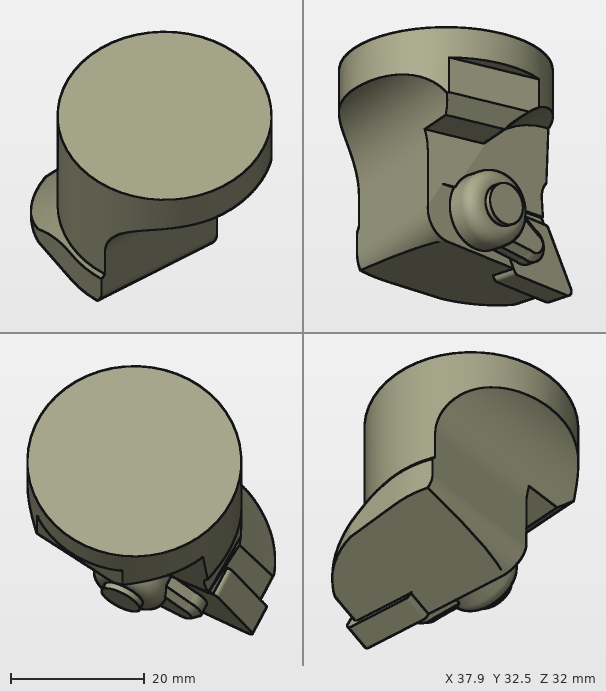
import cadquery as cq
import math


shank_diameter = 32.0
shank_radius = shank_diameter / 2
shank_length = 21.4
far = 45.45

relief_radius = 9.65
relief_top = -6.7
relief_x = shank_radius - relief_radius
corner_radius = 4.55
corner_z = -25.55

flare_slope = 0.65
head_depth = 12.1
skirt_radius = 16.5
skirt_arc_start = (-19.4, -8.55)
skirt_arc_middle = (-15.53, -13.67)
skirt_arc_end = (-9.25, -skirt_radius)

step_z = -4.95
step_y = 13.95
ledge_z = -13.18
ledge_chamfer = 2.55
wall_y = 5.25
rake_wall_rise = 0.38
ceiling_start = (-17.05, -7.45)
ceiling_middle = (-9.85, -8.55)
ceiling_end = (-3.4, ledge_z)

insert_side = 11.63
insert_angle = math.radians(55)
insert_thickness = 4.77
nose_radius = 0.8
side_inset = 0.55
lower_inset = 0.75
insert_tip = cq.Vector(-22.55, -0.1, -32.08)
insert_normal = cq.Vector(0.16, -0.98, 0.1)
lower_edge_direction = cq.Vector(0.984, 0.166, 0.05)
insert_plane = cq.Plane(insert_tip, lower_edge_direction, insert_normal)

scoop_diameter = 6.4
scoop_length = 11.35
scoop_run_angle = math.radians(78)
scoop_center = cq.Vector(-17.72, 0, -17.72)

clamp_center = (19.7, 7.27)
clamp_radius = 5.87
clamp_height = 5.1
clamp_fillet = 2.27
clamp_nose_center = (11.0, 4.55)
clamp_nose_radius = 2.65
clamp_nose_height = 3.03
clamp_nose_chamfer = 1.15
screw_diameter = 6.4
screw_height = 6.17


def point_on_edge(distance):
    """Local point on the insert's steep edge, measured from the tip."""
    return (distance * math.cos(insert_angle), distance * math.sin(insert_angle))


def make_insert():
    top_x, top_y = point_on_edge(insert_side)
    outline = [(0, 0), (insert_side, 0), (insert_side + top_x, top_y), (top_x, top_y)]
    blank = cq.Workplane(insert_plane).polyline(outline).close().extrude(insert_thickness)
    return blank.edges(cq.selectors.ParallelDirSelector(insert_plane.zDir)).fillet(nose_radius)


def make_front_profile():
    """Side limits of the head in XZ: shank left side, relief arc and rounded lower corner."""
    corner_center_x = relief_x - corner_radius
    return (
        cq.Workplane("XZ")
        .moveTo(-far, 0)
        .lineTo(shank_radius, 0)
        .lineTo(shank_radius, relief_top)
        .radiusArc((relief_x, relief_top - relief_radius), -relief_radius)
        .lineTo(relief_x, corner_z)
        .radiusArc((corner_center_x, corner_z - corner_radius), corner_radius)
        .lineTo(corner_center_x, -far)
        .lineTo(-far, -far)
        .close()
        .extrude(far, both=True)
    )


def make_wedge():
    """Cutting end limits parallel to the insert's two outer sides."""
    corner_x = (side_inset + lower_inset * math.cos(insert_angle)) / math.sin(insert_angle)
    corner = (corner_x, lower_inset)
    reach_x, reach_y = point_on_edge(far)
    wedge = (
        cq.Workplane(insert_plane)
        .polyline([
            corner,
            (corner[0] + far, corner[1]),
            (corner[0] + far + reach_x, corner[1] + reach_y),
            (corner[0] + reach_x, corner[1] + reach_y),
        ])
        .close()
        .extrude(far)
    )
    corner_point = insert_plane.toWorldCoords((corner[0], corner[1], 0))
    return wedge.edges(cq.selectors.NearestToPointSelector(
        (corner_point + insert_plane.zDir * (far / 2)).toTuple()
    )).fillet(nose_radius)


def make_skirt():
    """Upright outer wall of the cutting end, seen along the shank axis."""
    return (
        cq.Workplane("XY", origin=(0, 0, -shank_length - head_depth))
        .moveTo(-far, far)
        .lineTo(-far, skirt_arc_start[1])
        .lineTo(*skirt_arc_start)
        .threePointArc(skirt_arc_middle, skirt_arc_end)
        .lineTo(0, -skirt_radius)
        .radiusArc((skirt_radius, 0), -skirt_radius)
        .lineTo(skirt_radius, far)
        .close()
        .extrude(head_depth)
    )


def make_cutting_end():
    flare = cq.Workplane(cq.Solid.makeCone(
        shank_radius, shank_radius + flare_slope * head_depth, head_depth,
        cq.Vector(0, 0, -shank_length), cq.Vector(0, 0, -1),
    ))
    return flare.intersect(make_skirt()).intersect(make_wedge())


def make_back_pocket():
    """Space below the curved ceiling, behind the rake plane or the flat wall."""
    below_ceiling = (
        cq.Workplane("XZ")
        .moveTo(*ceiling_start)
        .threePointArc(ceiling_middle, ceiling_end)
        .lineTo(far, ledge_z)
        .lineTo(far, -far)
        .lineTo(-far, -far)
        .lineTo(-far, ceiling_start[1])
        .close()
        .extrude(far, both=True)
    )
    behind_wall = cq.Workplane("XY").box(2 * far, far, 2 * far, centered=(True, False, True))
    behind_wall = behind_wall.translate((0, wall_y, 0))
    rake_wall = cq.Workplane(insert_plane).workplane(offset=-rake_wall_rise)
    behind_rake = rake_wall.rect(4 * far, 4 * far).extrude(-far)
    return below_ceiling.intersect(behind_wall.union(behind_rake))


def make_back_step():
    """Step behind the top collar and the chamfer under it."""
    return (
        cq.Workplane("YZ")
        .polyline([
            (far, step_z),
            (step_y, step_z),
            (step_y, ledge_z + ledge_chamfer),
            (step_y - ledge_chamfer, ledge_z),
            (far, ledge_z),
        ])
        .close()
        .extrude(far, both=True)
    )


def make_scoop():
    """Round-topped scoop that runs straight down toward the insert."""
    radius = scoop_diameter / 2
    axis = insert_plane.zDir
    round_top = cq.Workplane(cq.Solid.makeCylinder(
        radius, 2 * far, scoop_center - axis * far, axis,
    ))
    run = (insert_plane.xDir * math.cos(scoop_run_angle)
           + insert_plane.yDir * math.sin(scoop_run_angle))
    straight = (
        cq.Workplane(cq.Plane(scoop_center, run, axis))
        .rect(scoop_length, scoop_diameter)
        .extrude(far, both=True)
        .translate(run * (-scoop_length / 2))
    )
    return round_top.union(straight)


def make_clamp():
    base = cq.Workplane(insert_plane)
    boss = base.center(*clamp_center).circle(clamp_radius).extrude(-clamp_height)
    boss = boss.faces(cq.selectors.DirectionMinMaxSelector(insert_plane.zDir, False))
    boss = boss.edges().fillet(clamp_fillet)
    screw = base.center(*clamp_center).circle(screw_diameter / 2).extrude(-screw_height)
    run_x = clamp_center[0] - clamp_nose_center[0]
    run_y = clamp_center[1] - clamp_nose_center[1]
    nose_plane = cq.Plane(
        insert_plane.toWorldCoords((*clamp_nose_center, 0)),
        insert_plane.xDir * run_x + insert_plane.yDir * run_y,
        insert_plane.zDir,
    )
    run = math.hypot(run_x, run_y)
    nose = (
        cq.Workplane(nose_plane)
        .moveTo(0, -clamp_nose_radius)
        .lineTo(run, -clamp_radius + clamp_nose_chamfer)
        .lineTo(run, clamp_radius - clamp_nose_chamfer)
        .lineTo(0, clamp_nose_radius)
        .threePointArc((-clamp_nose_radius, 0), (0, -clamp_nose_radius))
        .close()
        .extrude(-clamp_nose_height)
    )
    nose = nose.faces(cq.selectors.DirectionMinMaxSelector(insert_plane.zDir, False))
    nose = nose.edges().chamfer(clamp_nose_chamfer)
    return boss.union(nose).union(screw)


def make_head(insert):
    shank = cq.Workplane("XY").circle(shank_radius).extrude(-shank_length)
    body = shank.cut(make_scoop()).union(make_cutting_end())
    body = body.intersect(make_front_profile())
    body = body.cut(make_back_step()).cut(make_back_pocket())
    return body.union(make_clamp()).cut(insert)


insert = make_insert()
head = make_head(insert)

result = cq.Compound.makeCompound([head.val(), insert.val()])